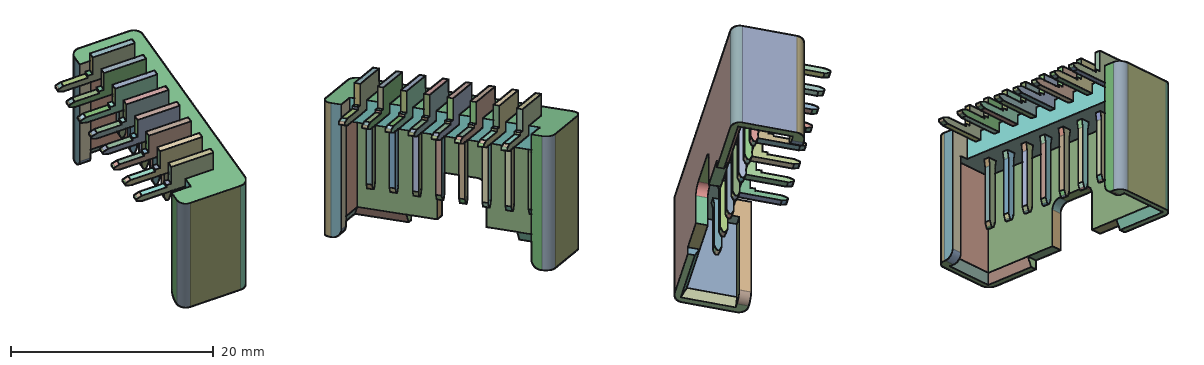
import cadquery as cq

body_width = 24.7
body_depth = 7.5
body_height = 14.18
corner_radius = 1.0
header_height = 2.52
header_depth = 5.4
front_opening_width = 20.45
lip_thickness = 1.2
back_wall = 1.2
end_wall = 1.1
rim_height = 1.0
rim_chamfer_run = 0.5

slot_width = 5.29
slot_top = 6.03
slot_radius = 1.0
bottom_notch_width = 11.9

pin_count = 8
pin_pitch = 2.5
pin_thickness = 0.65
pin_height = 0.75
blade_back = 2.32
blade_length = 4.65
blade_rise = 2.27
step_length = 0.52
tail_drop = 0.27
tail_reach = 3.29
contact_front = 4.05
contact_bottom = 4.15
contact_flare = 0.15
contact_flare_height = 0.82

tip_taper = 0.47
tip_round = 0.15
tip_half_height = 0.2

overlap = 0.25
front_face = -body_depth
header_bottom = body_height - header_height
cavity_width = body_width - 2 * end_wall
lip_back = front_face + lip_thickness


def box(width, y_min, y_max, z_min, z_max):
    """Box centred on X between the given Y and Z limits."""
    base = cq.Workplane("XY", origin=(0, y_min, z_min))
    return base.box(width, y_max - y_min, z_max - z_min, centered=(True, False, False))


def cavity():
    """Open interior: a front opening with a wider chamber behind the lips; only the opening reaches the top."""
    chamber = box(cavity_width, lip_back, -back_wall, -overlap, header_bottom)
    front_low = box(front_opening_width, front_face - overlap, -back_wall, -overlap, header_bottom)
    front_high = box(front_opening_width, front_face - overlap, -header_depth, -overlap, body_height + overlap)
    return chamber.union(front_low).union(front_high)


def rim_taper():
    """Lead-in that widens the chamber towards the bottom at the back wall and both end walls."""
    half_top = cavity_width / 2
    half_bottom = half_top + rim_chamfer_run
    back_bottom = rim_chamfer_run - back_wall
    ends = (
        cq.Workplane("XZ", origin=(0, back_bottom, 0))
        .polyline([(-half_bottom, 0), (half_bottom, 0), (half_top, rim_height), (-half_top, rim_height)])
        .close()
        .extrude(back_bottom - lip_back)
    )
    back = (
        cq.Workplane("YZ")
        .polyline([(lip_back, 0), (back_bottom, 0), (-back_wall, rim_height), (lip_back, rim_height)])
        .close()
        .extrude(half_bottom, both=True)
    )
    return ends.intersect(back)


def back_openings():
    """Round-topped slot and wide bottom notch through the back wall."""
    slot = box(slot_width, -back_wall - overlap, overlap, -slot_top, slot_top)
    slot = slot.edges("|Y").fillet(slot_radius)
    notch = box(bottom_notch_width, -back_wall - overlap, overlap, -overlap, rim_height)
    return slot.union(notch)


def lip_rounding(side):
    """Material outside the quarter round on the inner bottom edge of one front lip."""
    inner = side * front_opening_width / 2
    outer = inner + side * rim_height
    diagonal = rim_height * (1 - 0.5**0.5)
    return (
        cq.Workplane("XZ", origin=(0, lip_back, 0))
        .moveTo(inner, 0)
        .lineTo(outer, 0)
        .threePointArc((inner + side * diagonal, diagonal), (inner, rim_height))
        .close()
        .extrude(lip_thickness)
    )


def housing():
    shell = box(body_width, front_face, 0, 0, body_height).edges("|Z").fillet(corner_radius)
    shell = shell.cut(cavity()).cut(rim_taper()).cut(back_openings())
    for side in (-1, 1):
        shell = shell.cut(lip_rounding(side))
    return shell


def pin(x):
    """One pin, drawn in the YZ plane and extruded across its thickness."""
    plane = cq.Workplane("YZ", origin=(x - pin_thickness / 2, 0, 0))
    blade_front = -blade_back - blade_length
    tail_top = body_height - tail_drop
    tail_bottom = tail_top - pin_height
    tail_middle = tail_top - pin_height / 2
    tail_end = front_face - tail_reach
    tail_seam = tail_end + tip_round
    tail_shoulder = tail_seam + tip_taper
    blade_and_tail = (
        plane.moveTo(-blade_back, tail_bottom)
        .lineTo(-blade_back, body_height + blade_rise)
        .lineTo(blade_front, body_height + blade_rise)
        .lineTo(blade_front, body_height)
        .lineTo(blade_front - step_length, body_height)
        .lineTo(blade_front - step_length, tail_top)
        .lineTo(tail_shoulder, tail_top)
        .lineTo(tail_seam, tail_middle + tip_half_height)
        .threePointArc((tail_end, tail_middle), (tail_seam, tail_middle - tip_half_height))
        .lineTo(tail_shoulder, tail_bottom)
        .close()
        .extrude(pin_thickness)
    )

    front = -contact_front
    back = front + pin_height
    middle = front + pin_height / 2
    seam = contact_bottom + tip_round
    shoulder = seam + tip_taper
    flare_bottom = header_bottom - contact_flare_height
    contact = (
        plane.moveTo(back + contact_flare, tail_bottom)
        .lineTo(back + contact_flare, header_bottom)
        .lineTo(back, flare_bottom)
        .lineTo(back, shoulder)
        .lineTo(middle + tip_half_height, seam)
        .threePointArc((middle, contact_bottom), (middle - tip_half_height, seam))
        .lineTo(front, shoulder)
        .lineTo(front, flare_bottom)
        .lineTo(front - contact_flare, header_bottom)
        .lineTo(front - contact_flare, tail_bottom)
        .close()
        .extrude(pin_thickness)
    )
    return blade_and_tail.union(contact)


result = housing()
for index in range(pin_count):
    result = result.union(pin((index - (pin_count - 1) / 2) * pin_pitch))